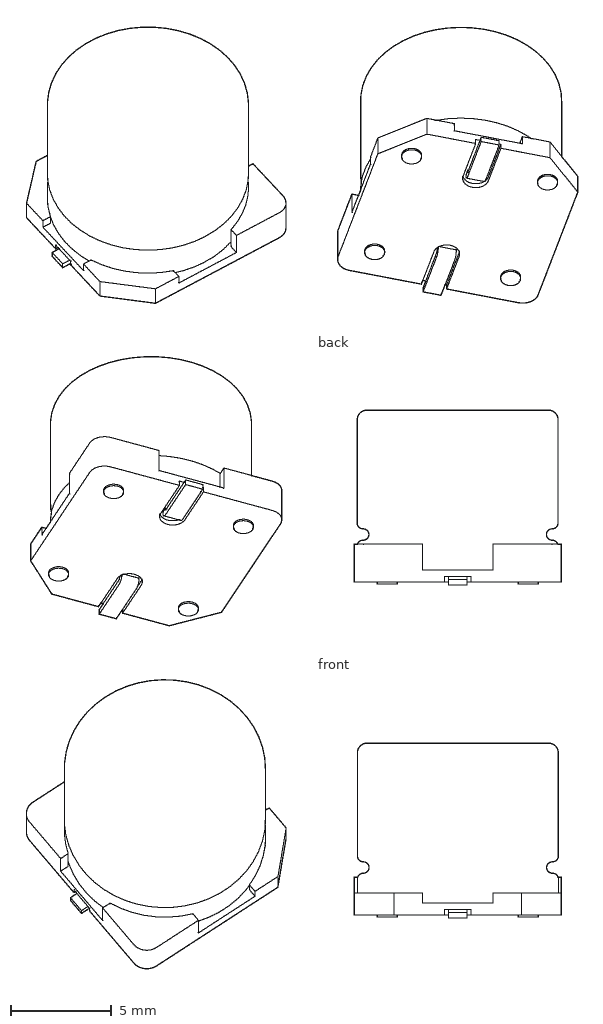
import cadquery as cq
import math

total_height = 8.7
lead_span = 11.0
base_width = 10.3

can_diameter = 10.0
can_radius = can_diameter / 2
can_fillet = 0.5
groove_center_z = 2.52
groove_radius = 0.28
groove_lip_radius = 0.31

base_bottom_z = 0.15
base_top_z = base_bottom_z + 1.1
raised_top_z = base_bottom_z + 1.89
seat_z = base_top_z - can_fillet
front_chamfer = 1.98
back_corner_radius = 0.8
notch_width = 3.5
foot_diameter = 1.0
foot_height = 0.1
foot_offset = 3.5

lead_width = 0.92
lead_thickness = 0.3
lead_inner_bend = 0.04
lead_outer_bend = lead_inner_bend + lead_thickness
lead_leg_inner_y = 2.62
lead_leg_middle_y = lead_leg_inner_y + lead_thickness / 2
channel_width = 1.3
channel_top_z = 0.43


def make_can():
    """Turned can: rounded rims and a rounded waist groove near the bottom."""
    lip_reach = groove_radius + groove_lip_radius
    shoulder_low = groove_center_z - lip_reach
    shoulder_high = groove_center_z + lip_reach
    lip_end_r = can_radius - groove_lip_radius
    lip_end_low = groove_center_z - groove_radius
    lip_end_high = groove_center_z + groove_radius
    waist_r = lip_end_r - groove_radius
    rim_r = can_radius - can_fillet
    diagonal = math.sqrt(0.5)

    rim_mid_r = rim_r + can_fillet * diagonal
    rim_mid_rise = can_fillet * (1 - diagonal)
    lip_mid_r = lip_end_r + groove_lip_radius * diagonal
    lip_mid_rise = groove_lip_radius * diagonal

    profile = (
        cq.Workplane("XZ")
        .moveTo(0, seat_z)
        .lineTo(rim_r, seat_z)
        .threePointArc((rim_mid_r, seat_z + rim_mid_rise), (can_radius, seat_z + can_fillet))
        .lineTo(can_radius, shoulder_low)
        .threePointArc((lip_mid_r, shoulder_low + lip_mid_rise), (lip_end_r, lip_end_low))
        .threePointArc((waist_r, groove_center_z), (lip_end_r, lip_end_high))
        .threePointArc((lip_mid_r, shoulder_high - lip_mid_rise), (can_radius, shoulder_high))
        .lineTo(can_radius, total_height - can_fillet)
        .threePointArc((rim_mid_r, total_height - rim_mid_rise), (rim_r, total_height))
        .lineTo(0, total_height)
        .close()
    )
    return profile.revolve(360, (0, 0, 0), (0, 1, 0))


def make_lead():
    """L-shaped strip on the +Y side: flat foot outward, upright leg into the can."""
    foot = cq.Workplane("XY").box(
        lead_width, lead_span / 2 - lead_leg_inner_y, lead_thickness, centered=(True, False, False)
    ).translate((0, lead_leg_inner_y, 0))
    leg = cq.Workplane("XY").box(
        lead_width, lead_thickness, seat_z, centered=(True, False, False)
    ).translate((0, lead_leg_inner_y, 0))
    strip = foot.union(leg)

    outer_corner = cq.NearestToPointSelector((0, lead_leg_inner_y, 0))
    inner_corner = cq.NearestToPointSelector((0, lead_leg_inner_y + lead_thickness, lead_thickness))
    strip = strip.edges("|X").edges(outer_corner).fillet(lead_outer_bend)
    return strip.edges("|X").edges(inner_corner).fillet(lead_inner_bend)


def make_capacitor():
    """Can with its two leads as one solid."""
    lead = make_lead()
    capacitor = make_can()
    for turn in (0, 180):
        capacitor = capacitor.union(lead.rotate((0, 0, 0), (0, 0, 1), turn))
    return capacitor


def make_base_block():
    """Square block with chamfered front corners, rounded back corners and two raised back corners."""
    block = (
        cq.Workplane("XY")
        .workplane(offset=base_bottom_z)
        .rect(base_width, base_width)
        .extrude(raised_top_z - base_bottom_z)
    )
    block = block.edges("|Z and <Y").chamfer(front_chamfer)
    block = block.edges("|Z and >Y").fillet(back_corner_radius)
    lowered_length = base_width / 2 + notch_width / 2
    lowered_front = (
        cq.Workplane("XY")
        .box(base_width, lowered_length, raised_top_z, centered=(True, False, False))
        .translate((0, -base_width / 2, base_top_z))
    )
    return block.cut(lowered_front)


def cut_can_seat(base):
    """Round recess for the can, and a notch at the middle of each side down to its floor."""
    cut_height = raised_top_z - seat_z
    floor = cq.Workplane("XY").workplane(offset=seat_z)
    base = base.cut(floor.circle(can_radius).extrude(cut_height))
    base = base.cut(floor.rect(base_width, notch_width).extrude(cut_height))
    return base.cut(floor.rect(notch_width, base_width).extrude(cut_height))


def cut_lead_channels(base):
    """Round-ended channel under each lead, with a slot through the floor for its leg."""
    channel_length = base_width / 2 - lead_leg_middle_y
    channel_height = channel_top_z - base_bottom_z
    underside = cq.Workplane("XY").workplane(offset=base_bottom_z)
    channel_end = underside.center(0, lead_leg_middle_y).circle(channel_width / 2).extrude(channel_height)
    channel_run = (
        underside.center(0, lead_leg_middle_y + channel_length / 2)
        .rect(channel_width, channel_length)
        .extrude(channel_height)
    )
    leg_slot = (
        underside.center(0, lead_leg_middle_y)
        .rect(lead_width, lead_thickness)
        .extrude(seat_z - base_bottom_z)
    )
    clearance = channel_end.union(channel_run).union(leg_slot)
    for turn in (0, 180):
        base = base.cut(clearance.rotate((0, 0, 0), (0, 0, 1), turn))
    return base


def add_feet(base):
    """Four thin round standoffs under the base."""
    feet = (
        cq.Workplane("XY")
        .workplane(offset=base_bottom_z - foot_height)
        .rect(2 * foot_offset, 2 * foot_offset, forConstruction=True)
        .vertices()
        .circle(foot_diameter / 2)
        .extrude(foot_height)
    )
    return base.union(feet)


def make_base():
    """Base plate that carries the can and lets the leads through."""
    base = make_base_block()
    base = cut_can_seat(base)
    base = cut_lead_channels(base)
    return add_feet(base)


capacitor = make_capacitor()
base = make_base()

result = cq.Compound.makeCompound([capacitor.solids().val(), base.solids().val()])